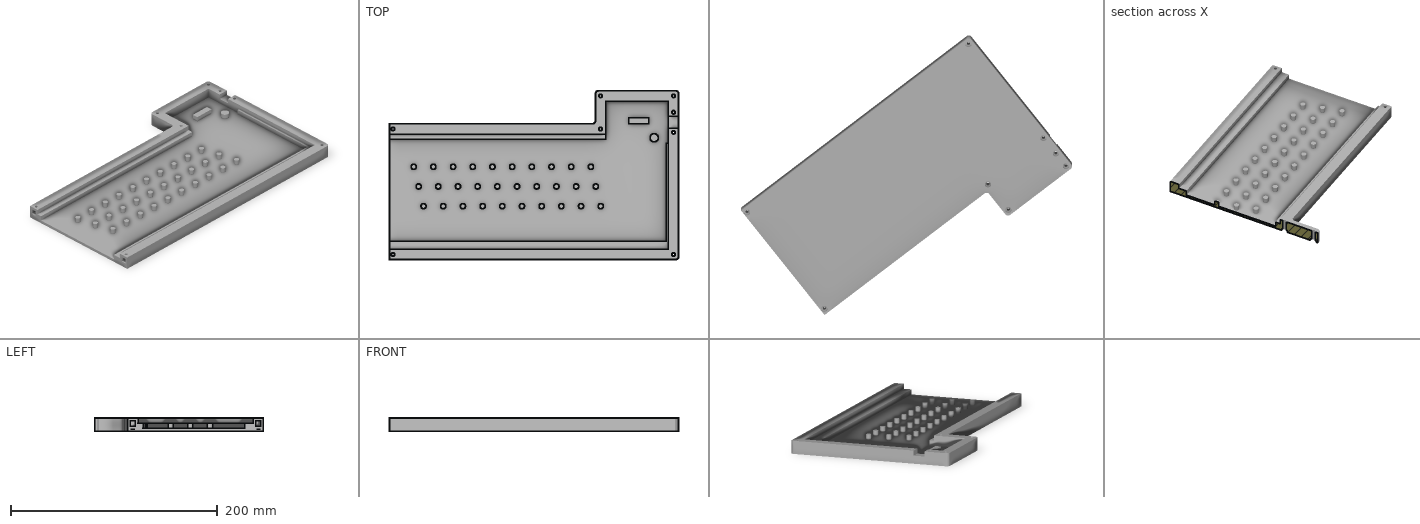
import cadquery as cq

LENGTH = 280.09
WIDTH = 163.49
HEIGHT = 13.0

MAIN_BAY_WIDTH = 131.5
TALL_BAY_LEFT = 199.4
CORNER_RADIUS = 3.0

WALL = 10.0
FLOOR_Z = 3.0
LEDGE_Z = 8.0
RIGHT_WALL_X = LENGTH - WALL
MAIN_POCKET_TOP = 121.3
FRONT_LEDGE_WIDTH = 8.0
REAR_LEDGE_WIDTH = 4.9
RIGHT_LEDGE_WIDTH = 2.0
RIGHT_LEDGE_TOP = 112.4

NOTCH_BOTTOM = 127.3
NOTCH_TOP = 138.5
NOTCH_Z = 8.0

KEY_PITCH = 19.05
ROW_STAGGER = KEY_PITCH / 4
PINS_PER_ROW = 10
PIN_ROWS = 3
FIRST_PIN = (23.65, 89.85)
PIN_DIAMETER = 5.0
SUPPORT_TOP = 8.0

POST_CENTER = (256.3, 117.9)
POST_DIAMETER = 8.0
BLOCK_CENTER = (241.5, 134.3)
BLOCK_LENGTH = 19.5
BLOCK_WIDTH = 6.0

SCREW_DIAMETER = 3.0
HEAD_DIAMETER = 6.0
HEAD_DEPTH = 2.0
SCREW_INSET = 5.0
LEFT_SCREW_X = 3.6
REAR_SCREW_Y = MAIN_BAY_WIDTH - SCREW_INSET
RIGHT_SCREW_X = LENGTH - SCREW_INSET
NOTCH_SCREW_GAP = 4.1
SCREW_POINTS = [
    (LEFT_SCREW_X, SCREW_INSET),
    (LEFT_SCREW_X, REAR_SCREW_Y),
    (TALL_BAY_LEFT + SCREW_INSET, REAR_SCREW_Y),
    (TALL_BAY_LEFT + SCREW_INSET, WIDTH - SCREW_INSET),
    (RIGHT_SCREW_X, WIDTH - SCREW_INSET),
    (RIGHT_SCREW_X, NOTCH_TOP + NOTCH_SCREW_GAP),
    (RIGHT_SCREW_X, NOTCH_BOTTOM - NOTCH_SCREW_GAP),
    (RIGHT_SCREW_X, SCREW_INSET),
]

SOCKET_SIZE = 5.0
SOCKET_DEPTH = 10.0
SOCKET_CENTER_Z = 7.7


def box(x_min, x_max, y_min, y_max, z_min, z_max):
    """Axis-aligned box given by its limits."""
    size = (x_max - x_min, y_max - y_min, z_max - z_min)
    return cq.Workplane().box(*size, centered=False).translate((x_min, y_min, z_min))


def outer_body():
    """L-shaped slab, rounded at every upright corner except those of the open left end."""
    main_bay = box(0, LENGTH, 0, MAIN_BAY_WIDTH, 0, HEIGHT)
    tall_bay = box(TALL_BAY_LEFT, LENGTH, 0, WIDTH, 0, HEIGHT)
    body = main_bay.union(tall_bay).clean()
    return body.edges("|Z").edges("not <X").fillet(CORNER_RADIUS)


def interior():
    """Stepped pocket, open at the left end, and the pocket of the tall bay."""
    front_ledge_edge = WALL + FRONT_LEDGE_WIDTH
    rear_ledge_edge = MAIN_POCKET_TOP - REAR_LEDGE_WIDTH
    right_ledge_edge = RIGHT_WALL_X - RIGHT_LEDGE_WIDTH
    tall_pocket_left = TALL_BAY_LEFT + WALL
    upper = box(0, RIGHT_WALL_X, WALL, MAIN_POCKET_TOP, LEDGE_Z, HEIGHT)
    lower = box(0, right_ledge_edge, front_ledge_edge, rear_ledge_edge, FLOOR_Z, LEDGE_Z)
    tall = box(tall_pocket_left, RIGHT_WALL_X, RIGHT_LEDGE_TOP, WIDTH - WALL, FLOOR_Z, HEIGHT)
    return upper.union(lower).union(tall)


def notch():
    """Gap through the upper part of the right wall."""
    return box(RIGHT_WALL_X, LENGTH, NOTCH_BOTTOM, NOTCH_TOP, NOTCH_Z, HEIGHT)


def supports():
    """Staggered pins, the round post and the rectangular block standing on the floor."""
    first_x, first_y = FIRST_PIN
    pin_points = [
        (first_x + column * KEY_PITCH + row * ROW_STAGGER, first_y - row * KEY_PITCH)
        for row in range(PIN_ROWS)
        for column in range(PINS_PER_ROW)
    ]
    height = SUPPORT_TOP - FLOOR_Z
    floor = cq.Workplane().workplane(offset=FLOOR_Z)
    pins = floor.pushPoints(pin_points).circle(PIN_DIAMETER / 2).extrude(height)
    post = floor.pushPoints([POST_CENTER]).circle(POST_DIAMETER / 2).extrude(height)
    block = floor.pushPoints([BLOCK_CENTER]).rect(BLOCK_LENGTH, BLOCK_WIDTH).extrude(height)
    return pins.union(post).union(block)


def screw_holes():
    """Through holes with a round head recess from below."""
    base = cq.Workplane().pushPoints(SCREW_POINTS)
    shanks = base.circle(SCREW_DIAMETER / 2).extrude(HEIGHT)
    heads = base.circle(HEAD_DIAMETER / 2).extrude(HEAD_DEPTH)
    return shanks.union(heads)


def sockets():
    """Square sockets entering the left end faces in line with the left screws."""
    socket_points = [(SCREW_INSET, SOCKET_CENTER_Z), (REAR_SCREW_Y, SOCKET_CENTER_Z)]
    return cq.Workplane("YZ").pushPoints(socket_points).rect(SOCKET_SIZE, SOCKET_SIZE).extrude(SOCKET_DEPTH)


shell = outer_body().cut(interior()).cut(notch())
result = shell.union(supports()).cut(screw_holes()).cut(sockets())